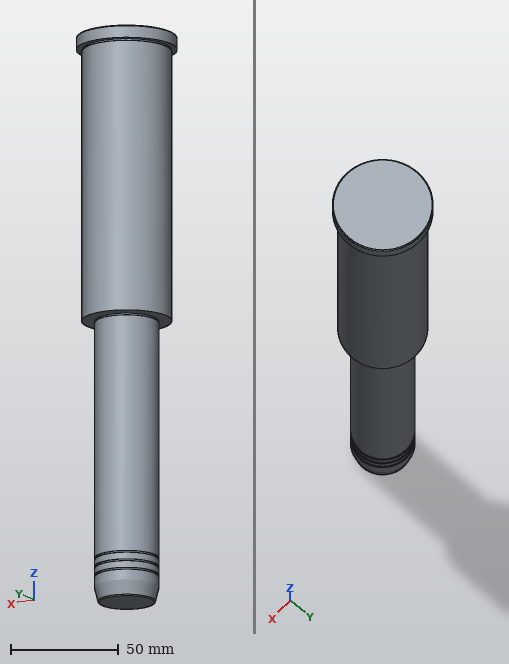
import cadquery as cq

total_length = 271.0
head_diameter = 47.0
head_thickness = 6.0
head_chamfer = 0.5
sleeve_diameter = 42.0
sleeve_bottom_depth = 136.0
pin_diameter = 30.0

nose_length = 7.0
nose_tip_diameter = 26.8
tip_chamfer = 0.5

groove_count = 3
lowest_groove_height = 12.2
groove_pitch = 4.0
groove_width = 0.8
groove_depth = 0.3

sleeve_bottom_height = total_length - sleeve_bottom_depth
head_bottom_height = total_length - head_thickness


def stepped_body():
    """Head, sleeve, pin and nose, revolved from one half profile."""
    head_radius = head_diameter / 2
    sleeve_radius = sleeve_diameter / 2
    pin_radius = pin_diameter / 2
    tip_radius = nose_tip_diameter / 2
    profile = (
        cq.Workplane("XZ")
        .lineTo(tip_radius - tip_chamfer, 0)
        .lineTo(tip_radius, tip_chamfer)
        .lineTo(pin_radius, nose_length)
        .lineTo(pin_radius, sleeve_bottom_height)
        .lineTo(sleeve_radius, sleeve_bottom_height)
        .lineTo(sleeve_radius, head_bottom_height)
        .lineTo(head_radius, head_bottom_height)
        .lineTo(head_radius, total_length - head_chamfer)
        .lineTo(head_radius - head_chamfer, total_length)
        .lineTo(0, total_length)
        .close()
    )
    return profile.revolve(360, (0, 0, 0), (0, 1, 0))


def groove_ring(shaft_diameter, bottom_height):
    """Ring of material to remove for one shallow groove around a shaft."""
    shaft_radius = shaft_diameter / 2
    return (
        cq.Workplane("XY", origin=(0, 0, bottom_height))
        .circle(shaft_radius + groove_depth)
        .circle(shaft_radius - groove_depth)
        .extrude(groove_width)
    )


result = stepped_body()

for index in range(groove_count):
    result = result.cut(groove_ring(pin_diameter, lowest_groove_height + index * groove_pitch))

result = result.cut(groove_ring(sleeve_diameter, head_bottom_height - groove_width))
result = result.cut(groove_ring(pin_diameter, sleeve_bottom_height - groove_width))